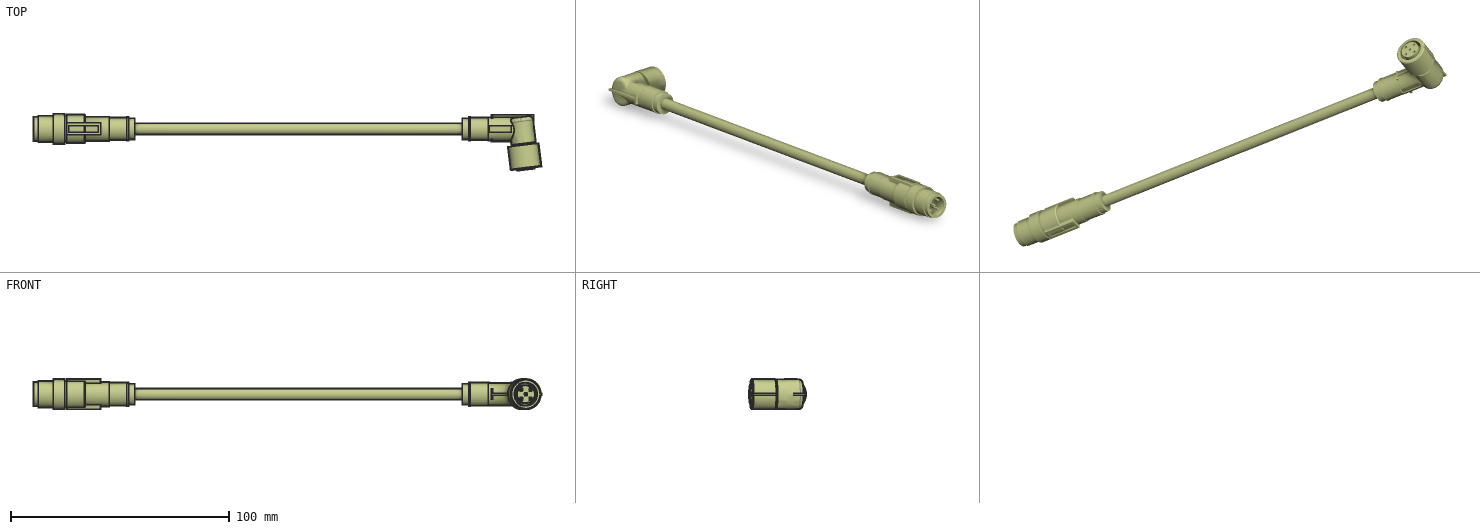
import cadquery as cq
import math

overall_length = 232.9
cable_diameter = 5.3
grip_height = 10.8
grip_width = 10.4
collar_diameter = 9.8
ring_diameter = 11.0
ring_length = 0.8

nut_diameter = 14.0
nose_length = 2.2
nose_diameter = 11.2
thread_diameter = 12.2
nut_start = 9.1
nut_end = 14.3
nut_groove_length = 1.0
nut_groove_diameter = 12.4
hub_start = nut_end + nut_groove_length
hub_end = 23.8
hub_diameter = 13.2
hub_chamfer = 0.4
sleeve_end = 34.8
sleeve_diameter = 11.3
plug_ring_start = 42.8
plug_end = 46.5
plug_bore_diameter = 8.6
plug_bore_depth = 7.0
pin_tip = 1.5

rail_end = 30.8
rail_width = 5.6
rail_envelope_diameter = 15.1
rail_pocket_width = 3.0
rail_pocket_depth = 0.8
rail_pocket_margin = 1.0

contact_diameter = 1.0
contact_hole_diameter = 1.4
contact_circle_radius = 3.0
outer_contact_count = 4

socket_start = 196.5
socket_ring_start = 199.4
socket_grip_end = 208.4
body_diameter = 10.8
body_end = 224.0
web_start = 209.8
web_end = 229.4
web_thickness = 1.0
web_top = 6.5
web_bottom = -6.0
web_stop_length = 0.8
web_stop_height = 4.8
side_pocket_start = 209.0
side_pocket_end = 219.0
side_pocket_width = 3.0
side_pocket_depth = 0.8

socket_tilt = 7.0
mark_protrusion = 0.3
mark_width = 1.0
socket_nut_face_y = -18.15
socket_nut_length = 10.8
nut_gap_length = 0.7
nut_gap_diameter = 10.6
neck_width = 11.4
neck_height = 13.8
neck_offset = 0.4
head_length = 23.6
neck_edge_radius = 1.8
socket_nut_chamfer = 0.4
socket_recess_diameter = 10.6
socket_recess_depth = 5.0
insert_diameter = 8.2
insert_protrusion = 0.6
contact_hole_depth = 5.0

nut_radius = nut_diameter / 2
tilt = math.radians(socket_tilt)
socket_face_x = overall_length - (nut_radius + mark_protrusion) * math.cos(tilt)


def cylinder_x(start, end, diameter):
    return cq.Workplane("YZ", origin=(start, 0, 0)).circle(diameter / 2).extrude(end - start)


def cylinder_y(start, end, diameter):
    """Cylinder of the socket head, whose face lies at zero and which runs back towards +Y."""
    return cq.Workplane("XZ", origin=(0, end, 0)).circle(diameter / 2).extrude(end - start)


def block(x_min, x_max, y_min, y_max, z_min, z_max):
    size = (x_max - x_min, y_max - y_min, z_max - z_min)
    return cq.Workplane("XY").box(*size, centered=False).translate((x_min, y_min, z_min))


def contact_points():
    """Centre contact and a ring of outer contacts at odd multiples of 45 degrees."""
    points = [(0, 0)]
    for index in range(outer_contact_count):
        angle = 2 * math.pi * (index + 0.5) / outer_contact_count
        points.append((contact_circle_radius * math.cos(angle), contact_circle_radius * math.sin(angle)))
    return points


def oval_x(start, end, width, height):
    """Slightly oval barrel along X, with its width along Y and its height along Z."""
    plane = cq.Workplane("YZ", origin=(start, 0, 0))
    return plane.ellipse(width / 2, height / 2).extrude(end - start)


def plug_rail():
    """Rail on the top of the plug with a sunken floor."""
    half_width = rail_width / 2
    half_pocket = rail_pocket_width / 2
    rail = block(hub_start, rail_end, -half_width, half_width, 0, nut_radius)
    pocket = block(
        hub_start + rail_pocket_margin,
        rail_end - rail_pocket_margin,
        -half_pocket,
        half_pocket,
        nut_radius - rail_pocket_depth,
        nut_radius,
    )
    return rail.cut(pocket).intersect(cylinder_x(hub_start, rail_end, rail_envelope_diameter))


def straight_plug():
    ring_end = plug_ring_start + ring_length
    plug = cylinder_x(0, nose_length, nose_diameter)
    plug = plug.union(cylinder_x(nose_length, nut_start, thread_diameter))
    plug = plug.cut(cylinder_x(0, plug_bore_depth, plug_bore_diameter))
    plug = plug.union(cylinder_x(nut_start, nut_end, nut_diameter))
    plug = plug.union(cylinder_x(nut_end, hub_start, nut_groove_diameter))
    hub = cylinder_x(hub_start, hub_end, hub_diameter)
    hub = hub.faces(">X").edges().chamfer(hub_chamfer)
    plug = plug.union(hub)
    plug = plug.union(cylinder_x(hub_end, sleeve_end, sleeve_diameter))
    plug = plug.union(oval_x(sleeve_end, plug_ring_start, grip_width, grip_height))
    plug = plug.union(cylinder_x(plug_ring_start, ring_end, ring_diameter))
    plug = plug.union(cylinder_x(ring_end, plug_end, collar_diameter))
    rail = plug_rail()
    plug = plug.union(rail).union(rail.mirror("XY"))
    pins = (
        cq.Workplane("YZ", origin=(pin_tip, 0, 0))
        .pushPoints(contact_points())
        .circle(contact_diameter / 2)
        .extrude(nut_start - pin_tip)
    )
    return plug.union(pins)


def socket_grip():
    """Cable grip of the angled socket with its thin webs and side pockets."""
    ring_end = socket_ring_start + ring_length
    half_web = web_thickness / 2
    half_stop = web_stop_height / 2
    half_pocket = side_pocket_width / 2
    body_radius = body_diameter / 2
    body = cylinder_x(socket_start, socket_ring_start, collar_diameter)
    body = body.union(cylinder_x(socket_ring_start, ring_end, ring_diameter))
    body = body.union(oval_x(ring_end, socket_grip_end, grip_width, grip_height))
    body = body.union(cylinder_x(socket_grip_end, body_end, body_diameter))
    body = body.union(block(web_start, web_end, 0, web_top, -half_web, half_web))
    body = body.union(block(web_start, body_end, web_bottom, 0, -half_web, half_web))
    stop_end = web_start + web_stop_length
    body = body.union(block(web_start, stop_end, web_bottom, web_top, -half_stop, half_stop))
    pocket_floor = body_radius - side_pocket_depth
    pocket = block(
        side_pocket_start, side_pocket_end, -half_pocket, half_pocket, pocket_floor, body_radius
    )
    return body.cut(pocket).cut(pocket.mirror("XY"))


def socket_nut():
    """Coupling nut of the socket with a position mark along its side."""
    half_mark = mark_width / 2
    mark_tip = nut_radius + mark_protrusion
    nut = cylinder_y(0, socket_nut_length, nut_diameter)
    nut = nut.faces("<Y").edges().chamfer(socket_nut_chamfer)
    return nut.union(block(nut_radius - 1, mark_tip, 0, socket_nut_length, -half_mark, half_mark))


def socket_neck():
    """Oval neck with a rounded end, set off from the nut by a narrow gap."""
    neck_start = socket_nut_length + nut_gap_length
    plane = cq.Workplane("XZ", origin=(neck_offset, head_length, 0))
    neck = plane.ellipse(neck_width / 2, neck_height / 2).extrude(head_length - neck_start)
    neck = neck.faces(">Y").edges().fillet(neck_edge_radius)
    return neck.union(cylinder_y(socket_nut_length, neck_start, nut_gap_diameter))


def socket_head():
    head = socket_neck().union(socket_nut())
    head = head.cut(cylinder_y(0, socket_recess_depth, socket_recess_diameter))
    head = head.union(cylinder_y(-insert_protrusion, socket_recess_depth, insert_diameter))
    holes = (
        cq.Workplane("XZ", origin=(0, contact_hole_depth, 0))
        .pushPoints(contact_points())
        .circle(contact_hole_diameter / 2)
        .extrude(contact_hole_depth + insert_protrusion)
    )
    head = head.cut(holes)
    head = head.rotate((0, 0, 0), (0, 0, 1), socket_tilt)
    return head.translate((socket_face_x, socket_nut_face_y, 0))


cable = cylinder_x(plug_end, socket_start, cable_diameter)
result = straight_plug().union(cable).union(socket_grip()).union(socket_head())